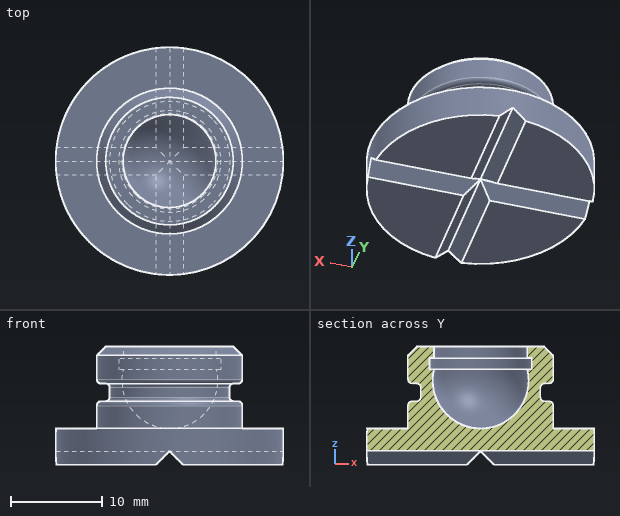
import cadquery as cq

flange_diameter = 25.0
flange_height = 4.0

neck_diameter = 16.0
total_height = 13.0
top_chamfer = 1.0

outer_groove_bottom = 7.0
outer_groove_width = 1.9
outer_groove_diameter = 13.2
groove_lip_fillet = 0.5
groove_root_fillet = 0.4

bore_diameter = 10.2
bore_depth = 1.3
ring_groove_diameter = 11.2
ring_groove_width = 1.2
cup_diameter = 10.5

notch_depth = 1.5
notch_half_width = notch_depth


def cylinder(diameter, bottom, top):
    """Cylinder on the Z axis between two heights."""
    return cq.Workplane("XY").workplane(offset=bottom).circle(diameter / 2).extrude(top - bottom)


def make_outer_groove():
    """Ring to remove from the neck, with rounded roots and flared, rounded lips."""
    lip_radius = neck_diameter / 2
    root_radius = outer_groove_diameter / 2
    bottom = outer_groove_bottom
    top = outer_groove_bottom + outer_groove_width
    lip = groove_lip_fillet
    root = groove_root_fillet
    section = (
        cq.Workplane("XZ")
        .moveTo(lip_radius, bottom - lip)
        .radiusArc((lip_radius - lip, bottom), -lip)
        .lineTo(root_radius + root, bottom)
        .radiusArc((root_radius, bottom + root), root)
        .lineTo(root_radius, top - root)
        .radiusArc((root_radius + root, top), root)
        .lineTo(lip_radius - lip, top)
        .radiusArc((lip_radius, top + lip), -lip)
        .close()
    )
    return section.revolve(360, (0, 0, 0), (0, 1, 0))


def make_body():
    """Flange and grooved, chamfered neck, still solid inside."""
    flange = cylinder(flange_diameter, 0, flange_height)
    neck = cylinder(neck_diameter, flange_height, total_height).faces(">Z").chamfer(top_chamfer)
    return flange.union(neck.cut(make_outer_groove()))


def make_cavity():
    """Bore, ring groove and spherical cup that narrows slightly at its rim, open at the top."""
    bore_bottom = total_height - bore_depth
    cup_rim = bore_bottom - ring_groove_width
    bore = cylinder(bore_diameter, bore_bottom, total_height)
    ring_groove = cylinder(ring_groove_diameter, cup_rim, bore_bottom)
    cup_radius = cup_diameter / 2
    cup = cq.Workplane("XY").sphere(cup_radius).translate((0, 0, flange_height + cup_radius))
    cup = cup.intersect(cylinder(ring_groove_diameter, flange_height, cup_rim))
    return bore.union(ring_groove).union(cup)


def make_notch(plane):
    """V notch running across the full flange, along the normal of the given plane."""
    return (
        cq.Workplane(plane)
        .moveTo(-notch_half_width, 0)
        .lineTo(0, notch_depth)
        .lineTo(notch_half_width, 0)
        .close()
        .extrude(flange_diameter / 2, both=True)
    )


result = make_body().cut(make_cavity())
for notch_plane in ("XZ", "YZ"):
    result = result.cut(make_notch(notch_plane))